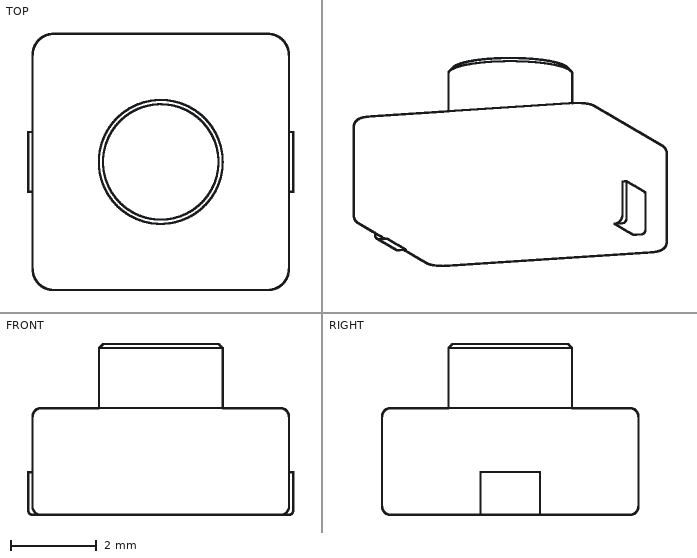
import cadquery as cq

overall_length = 6.2
housing_side = 6.0
overall_height = 4.0
housing_height = 2.5
corner_radius = 0.5
edge_radius = 0.2
button_diameter = 2.9
button_chamfer = 0.1
terminal_width = 1.4
terminal_height = 1.0

terminal_thickness = (overall_length - housing_side) / 2
button_height = overall_height - housing_height


def make_housing():
    """Square block with rounded corners and rounded top and bottom edges, resting on Z = 0."""
    return (
        cq.Workplane("XY")
        .rect(housing_side, housing_side)
        .extrude(housing_height)
        .edges("|Z")
        .fillet(corner_radius)
        .faces("<Z or >Z")
        .edges()
        .fillet(edge_radius)
    )


def make_button():
    """Round plunger standing on the housing, with a chamfered rim."""
    return (
        cq.Workplane("XY", origin=(0, 0, housing_height))
        .circle(button_diameter / 2)
        .extrude(button_height)
        .faces(">Z")
        .edges()
        .chamfer(button_chamfer)
    )


def make_terminal(turn):
    """Side plate that hugs the housing wall and follows its rounded bottom edge to Z = 0."""
    wall_x = -housing_side / 2
    outer_x = wall_x - terminal_thickness
    profile = (
        cq.Workplane("XZ", origin=(0, terminal_width / 2, 0))
        .moveTo(wall_x, terminal_height)
        .lineTo(outer_x, terminal_height)
        .lineTo(outer_x, terminal_thickness)
        .radiusArc((wall_x, 0), -terminal_thickness)
        .lineTo(wall_x + edge_radius, 0)
        .radiusArc((wall_x, edge_radius), edge_radius)
        .close()
    )
    return profile.extrude(terminal_width).rotate((0, 0, 0), (0, 0, 1), turn)


housing = make_housing()
button = make_button()
terminals = [make_terminal(turn) for turn in (0, 180)]

result = cq.Compound.makeCompound(
    [housing.val(), button.val(), *[terminal.val() for terminal in terminals]]
)